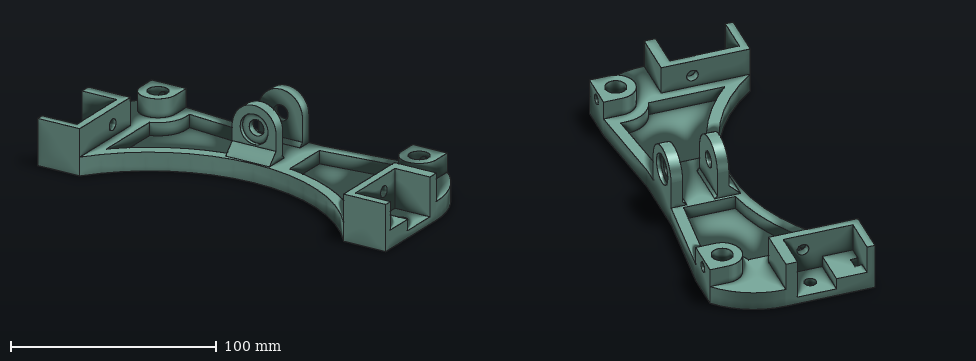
import cadquery as cq
import math

length = 200.0
depth = 80.0
plate_height = 10.0
waist_rear_y = 75.0
waist_half_width = 16.8
front_arc_rise = 38.0

box_width = 24.2
box_depth = 46.2
box_height = 25.0
box_side_wall = 4.2
box_front_wall = 4.2
box_rear_wall = 6.0
box_floor = 4.0
step_rear_y = 20.0
box_hole_diameter = 6.0
box_hole_x = 90.2
box_hole_y = 30.0
box_hole_z = 16.5
notch_width = 6.0
notch_depth = 3.8

boss_x = 75.0
boss_y = 70.0
boss_radius = 10.0
boss_height = 20.0
boss_hole_diameter = 10.5
cross_hole_diameter = 5.2
cross_hole_z = 15.0

pocket_floor = 3.0
pocket_inner_x = 18.2
pocket_outer_x = 70.2
pocket_rim = 6.0

lug_x = -4.0
lug_radius = 12.5
lug_thickness = 6.0
lug_axis_z = 24.8
front_lug_y = 45.0
lug_hole_diameter = 8.5
lug_recess_diameter = 16.0
lug_recess_depth = 2.2
front_brace = 6.0
front_lug_inner_brace = 1.5
rear_lug_inner_brace = 2.2

half_length = length / 2
box_inner_x = half_length - box_width
boss_outer_x = boss_x + boss_radius
boss_inner_x = boss_x - boss_radius
rear_lug_y = waist_rear_y - lug_thickness
front_arc_radius = (box_inner_x**2 + front_arc_rise**2) / (2 * front_arc_rise)
front_arc_center_y = front_arc_rise - front_arc_radius
rear_slope = (depth - waist_rear_y) / (boss_inner_x - waist_half_width)


def block(x_range, y_range, z_range):
    """Axis-aligned block between the given limits."""
    (x0, x1), (y0, y1), (z0, z1) = x_range, y_range, z_range
    return cq.Workplane("XY").box(x1 - x0, y1 - y0, z1 - z0, centered=False).translate((x0, y0, z0))


def cylinder(center, diameter, height, direction):
    """Cylinder starting at center and running along direction."""
    return cq.Workplane(cq.Solid.makeCylinder(
        diameter / 2, height, cq.Vector(*center), cq.Vector(*direction)))


def both_ends(shape):
    """Left-hand shape together with its mirror image."""
    return shape.union(shape.mirror("YZ"))


def make_plate():
    inset = half_length - boss_outer_x
    rise = depth - box_depth
    corner_radius = (inset**2 + rise**2) / (2 * inset)
    half_angle = math.atan2(rise, corner_radius - inset) / 2
    corner_x = half_length - corner_radius * (1 - math.cos(half_angle))
    corner_y = box_depth + corner_radius * math.sin(half_angle)
    return (
        cq.Workplane("XY")
        .moveTo(-box_inner_x, 0)
        .threePointArc((0, front_arc_rise), (box_inner_x, 0))
        .lineTo(half_length, 0)
        .lineTo(half_length, box_depth)
        .threePointArc((corner_x, corner_y), (boss_outer_x, depth))
        .lineTo(boss_inner_x, depth)
        .lineTo(waist_half_width, waist_rear_y)
        .lineTo(-waist_half_width, waist_rear_y)
        .lineTo(-boss_inner_x, depth)
        .lineTo(-boss_outer_x, depth)
        .threePointArc((-corner_x, corner_y), (-half_length, box_depth))
        .lineTo(-half_length, 0)
        .close()
        .extrude(plate_height)
    )


def make_pocket():
    """Left pocket, bounded by the front arc, the boss and the rear edge."""
    def rear_y(x):
        edge_y = waist_rear_y + rear_slope * (x - waist_half_width)
        return edge_y - pocket_rim * math.hypot(1, rear_slope)

    blank = (
        cq.Workplane("XY")
        .workplane(offset=pocket_floor)
        .polyline([
            (-pocket_outer_x, 0),
            (-pocket_inner_x, 0),
            (-pocket_inner_x, rear_y(pocket_inner_x)),
            (-pocket_outer_x, rear_y(pocket_outer_x)),
        ])
        .close()
        .extrude(plate_height - pocket_floor)
    )
    front_rim = cylinder((0, front_arc_center_y, 0), 2 * (front_arc_radius + pocket_rim), plate_height, (0, 0, 1))
    boss_rim_radius = boss_radius + pocket_rim
    boss_rim = cylinder((-boss_x, boss_y, 0), 2 * boss_rim_radius, plate_height, (0, 0, 1))
    boss_rim_back = block(
        (-boss_x - boss_rim_radius, -boss_x + boss_rim_radius), (boss_y, depth), (0, plate_height))
    return blank.cut(front_rim).cut(boss_rim).cut(boss_rim_back)


def make_box_cavity():
    """Stepped cavity of the left box with its screw holes and floor notch."""
    x_range = (-half_length, -box_inner_x - box_side_wall)
    cavity_rear_y = box_depth - box_rear_wall
    shallow = block(x_range, (box_front_wall, cavity_rear_y), (plate_height, box_height))
    deep = block(x_range, (step_rear_y, cavity_rear_y), (box_floor, box_height))
    floor_hole = cylinder((-box_hole_x, box_hole_y, 0), box_hole_diameter, plate_height, (0, 0, 1))
    side_hole = cylinder((-half_length, box_hole_y, box_hole_z), box_hole_diameter, box_width, (1, 0, 0))
    notch = block(
        (-box_hole_x - notch_width / 2, -box_hole_x + notch_width / 2),
        (box_front_wall, box_front_wall + notch_depth),
        (0, plate_height),
    )
    return shallow.union(deep).union(floor_hole).union(side_hole).union(notch)


def make_boss():
    """Left boss: round at the front, square at the rear edge."""
    round_end = cylinder((-boss_x, boss_y, 0), 2 * boss_radius, boss_height, (0, 0, 1))
    square_end = block((-boss_outer_x, -boss_inner_x), (boss_y, depth), (plate_height, boss_height))
    return round_end.union(square_end)


def make_boss_holes():
    """Vertical bore of the left boss and the cross hole from its rear face."""
    bore = cylinder((-boss_x, boss_y, 0), boss_hole_diameter, boss_height, (0, 0, 1))
    cross_hole = cylinder((-boss_x, depth, cross_hole_z), cross_hole_diameter, depth - boss_y, (0, -1, 0))
    return bore.union(cross_hole)


def make_lug(front_y, front_brace_size, rear_brace_size):
    """Round-topped lug with 45 degree braces at its foot."""
    rear_y = front_y + lug_thickness
    left_x = lug_x - lug_radius
    right_x = lug_x + lug_radius
    upright = block((left_x, right_x), (front_y, rear_y), (plate_height, lug_axis_z))
    top = cylinder((lug_x, front_y, lug_axis_z), 2 * lug_radius, lug_thickness, (0, 1, 0))
    lug = upright.union(top)
    for face_y, brace in ((front_y, -front_brace_size), (rear_y, rear_brace_size)):
        if brace:
            foot = (
                cq.Workplane("YZ", origin=(left_x, 0, 0))
                .polyline([
                    (face_y, plate_height),
                    (face_y + brace, plate_height),
                    (face_y, plate_height + abs(brace)),
                ])
                .close()
                .extrude(2 * lug_radius)
            )
            lug = lug.union(foot)
    return lug


box = block((-half_length, -box_inner_x), (0, box_depth), (0, box_height))
lug_bore = cylinder((lug_x, 0, lug_axis_z), lug_hole_diameter, depth, (0, 1, 0))
front_recess = cylinder((lug_x, front_lug_y, lug_axis_z), lug_recess_diameter, lug_recess_depth, (0, 1, 0))
rear_recess = cylinder((lug_x, waist_rear_y, lug_axis_z), lug_recess_diameter, lug_recess_depth, (0, -1, 0))

result = (
    make_plate()
    .cut(both_ends(make_pocket()))
    .union(both_ends(box))
    .union(both_ends(make_boss()))
    .union(make_lug(front_lug_y, front_brace, front_lug_inner_brace))
    .union(make_lug(rear_lug_y, rear_lug_inner_brace, 0))
    .cut(both_ends(make_box_cavity()))
    .cut(both_ends(make_boss_holes()))
    .cut(lug_bore)
    .cut(front_recess)
    .cut(rear_recess)
)